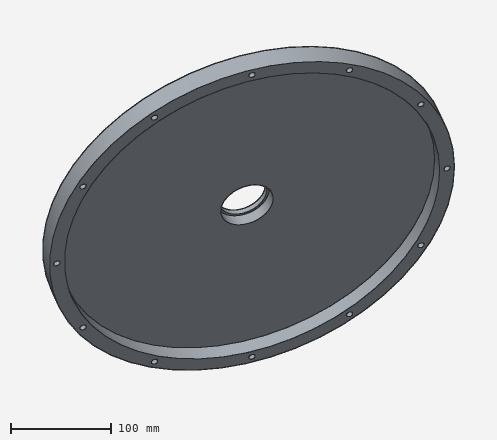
import cadquery as cq

total_length = 35.0
disc_thickness = 22.0
disc_diameter = 425.6
hub_diameter = 67.0

bore_diameter = 50.4
lip_thickness = 6.0
seat_diameter = 55.0

hole_count = 12
hole_circle_diameter = 410.0
hole_diameter = 6.6

web_thickness = 6.0
rim_width = disc_diameter - hole_circle_diameter
cavity_diameter = disc_diameter - 2 * rim_width

hub_front = -total_length / 2
seat_front = hub_front + lip_thickness
back = total_length / 2
disc_front = back - disc_thickness
web_back = disc_front + web_thickness


def cylinder_along_x(start, end, diameter):
    """Solid cylinder about the X axis between two X stations."""
    return cq.Workplane("YZ", origin=(start, 0, 0)).circle(diameter / 2).extrude(end - start)


def cover_body():
    """Disc with its front hub, hollowed from the back."""
    disc = cylinder_along_x(disc_front, back, disc_diameter)
    hub = cylinder_along_x(hub_front, web_back, hub_diameter)
    cavity = cylinder_along_x(web_back, back, cavity_diameter)
    return disc.union(hub).cut(cavity)


def stepped_bore():
    """Lip bore and the wider seat behind it."""
    lip_bore = cylinder_along_x(hub_front, seat_front, bore_diameter)
    seat = cylinder_along_x(seat_front, web_back, seat_diameter)
    return lip_bore.union(seat)


def mounting_holes():
    """Evenly spaced through holes around the rim."""
    return (
        cq.Workplane("YZ", origin=(disc_front, 0, 0))
        .polarArray(hole_circle_diameter / 2, 0, 360, hole_count)
        .circle(hole_diameter / 2)
        .extrude(disc_thickness)
    )


result = cover_body().cut(stepped_bore()).cut(mounting_holes())